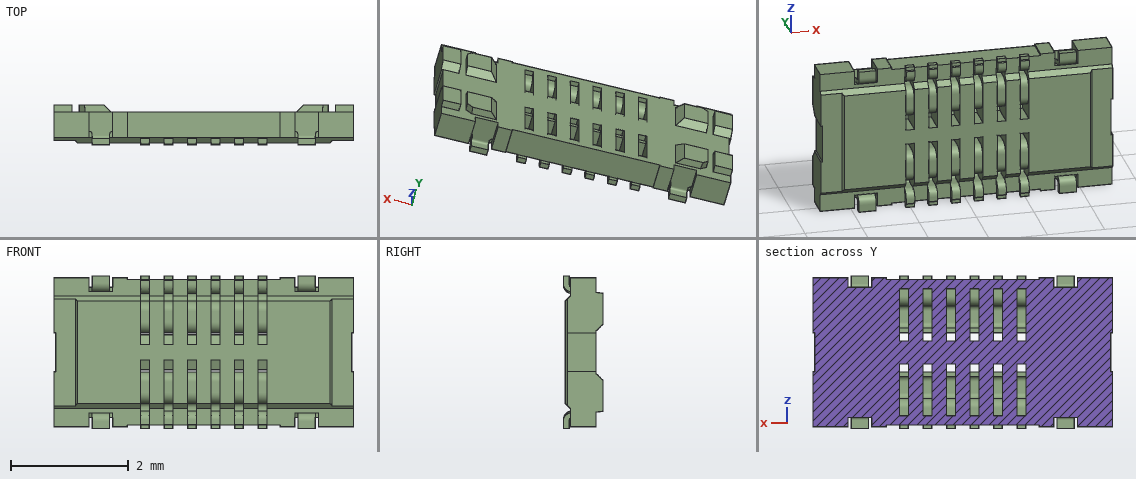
import cadquery as cq


body_length = 5.1
flange_half_width = 1.27
flange_front = 0.12
flange_back = 0.56
waist_half_length = 1.3
waist_half_width = 1.24
end_relief_depth = 0.03
end_relief_half_width = 0.33

panel_front = 0.03
panel_foot_half_width = 0.96
end_panel_front = 0.07
main_panel_half_length = 2.15
main_panel_end_run = 0.08

post_top = 0.68
post_outer_z_base = 1.02
post_outer_z_top = 1.005
post_inner_z_top = 0.48
end_post_inner_x = 2.24
side_post_outer_x = 2.12
side_post_inner_x_top = 1.7
side_post_corner = 0.09

contact_count = 6
contact_pitch = 0.4
contact_width = 0.15
metal_thickness = 0.08
foot_tip_z = 1.3
foot_back = 0.105
foot_bend_radius = 0.15
foot_step = 0.015
foot_step_z = 1.24
tail_leg_z = 0.998
tail_outer_z = tail_leg_z + metal_thickness
upper_bend_y = 0.4
upper_radius_tail = 0.024
upper_radius_spring = 0.075
spring_outer_z = 0.87
spring_inner_z = 0.332
spring_bottom_y = 0.065
spring_bend_radius = 0.17
spring_tip_y = upper_bend_y + metal_thickness

slot_end_z_front = 0.13
slot_end_z_back = 0.30
slot_ramp_depth = 0.07

hold_down_x = 1.75
hold_down_width = 0.3
notch_width = 0.4
notch_floor_z = 1.11
hold_down_bend_radius = 0.14
hold_down_inner_radius = 0.045
flare_start_y = 0.18
flare_radius = (notch_width - hold_down_width) / 2


def box(x_min, x_max, y_min, y_max, z_min, z_max):
    """Box between the given limits."""
    size = (x_max - x_min, y_max - y_min, z_max - z_min)
    return cq.Workplane("XY").box(*size, centered=False).translate((x_min, y_min, z_min))


def side_profile(x_min, x_max):
    """Workplane for drawing a (Y, Z) outline, and the length that carries it from x_min to x_max."""
    return cq.Workplane("YZ", origin=(x_min, 0, 0)), x_max - x_min


def mirrored_in_z(shape):
    return shape.union(shape.mirror("XY"))


def mirrored_in_x(shape):
    return shape.union(shape.mirror("YZ"))


def flange():
    half = body_length / 2
    plate = box(-half, half, flange_front, flange_back, -flange_half_width, flange_half_width)
    waist = box(-waist_half_length, waist_half_length, flange_front, flange_back,
                waist_half_width, flange_half_width)
    return plate.cut(mirrored_in_z(waist))


def panel(half_length, front):
    """Panel raised to Y = front, its long edges sloped at 45 degrees from the flange face."""
    front_half_width = panel_foot_half_width - (flange_front - front)
    plane, length = side_profile(-half_length, half_length)
    return plane.polyline([
        (flange_front, -panel_foot_half_width),
        (front, -front_half_width),
        (front, front_half_width),
        (flange_front, panel_foot_half_width),
    ]).close().extrude(length)


def main_panel():
    """Higher middle panel, with its short ends sloped down to the end panels."""
    base_half_length = main_panel_half_length + main_panel_end_run
    ends = cq.Workplane("XY", origin=(0, 0, -panel_foot_half_width)).polyline([
        (-base_half_length, flange_front),
        (-main_panel_half_length, panel_front),
        (main_panel_half_length, panel_front),
        (base_half_length, flange_front),
    ]).close().extrude(2 * panel_foot_half_width)
    return panel(base_half_length, panel_front).intersect(ends)


def post_ridge(x_min, x_max):
    """Ridge with a slightly drafted outer face and a 45 degree inner face."""
    rise = post_top - flange_back
    plane, length = side_profile(x_min, x_max)
    return plane.polyline([
        (flange_back, post_inner_z_top - rise),
        (post_top, post_inner_z_top),
        (post_top, post_outer_z_top),
        (flange_back, post_outer_z_base),
    ]).close().extrude(length)


def posts():
    """One end post and one side post; the side post has a cut outer corner and a sloped inner end."""
    end_post = post_ridge(end_post_inner_x, body_length / 2)
    rise = post_top - flange_back
    side_post_inner_x = side_post_inner_x_top - rise
    side_post = post_ridge(side_post_inner_x, side_post_outer_x)
    inner_end = cq.Workplane("XY").polyline([
        (side_post_inner_x, flange_back),
        (side_post_inner_x, post_top),
        (side_post_inner_x_top, post_top),
    ]).close().extrude(post_outer_z_base)
    corner_start_x = side_post_outer_x - side_post_corner
    corner_overrun = post_outer_z_base - post_outer_z_top
    corner = cq.Workplane("XZ", origin=(0, flange_back, 0)).polyline([
        (side_post_outer_x, post_outer_z_top - side_post_corner),
        (side_post_outer_x, post_outer_z_base),
        (corner_start_x - corner_overrun, post_outer_z_base),
    ]).close().extrude(-rise)
    return end_post.union(side_post.cut(inner_end).cut(corner))


def end_relief():
    half = body_length / 2
    return box(half - end_relief_depth, half, 0, post_top, -end_relief_half_width, end_relief_half_width)


def housing():
    body = flange().union(panel(body_length / 2, end_panel_front)).union(main_panel())
    body = body.union(mirrored_in_x(mirrored_in_z(posts())))
    return body.cut(mirrored_in_x(end_relief()))


def contact_slot(x):
    plane, length = side_profile(x - contact_width / 2, x + contact_width / 2)
    return plane.polyline([
        (panel_front, slot_end_z_front),
        (flange_back - slot_ramp_depth, slot_end_z_front),
        (flange_back, slot_end_z_back),
        (flange_back, tail_outer_z),
        (panel_front, tail_outer_z),
    ]).close().extrude(length)


def contact(x):
    """Strip running from the solder foot over an upper bend and round a U-shaped spring."""
    plane, length = side_profile(x - contact_width / 2, x + contact_width / 2)
    foot_arc_z = tail_leg_z + foot_bend_radius
    upper_outer_y = upper_bend_y + metal_thickness
    inner_bend = spring_bend_radius - metal_thickness
    outer_upper_bend = upper_radius_spring + metal_thickness
    spring_inside_y = spring_bottom_y + metal_thickness
    spring_high_z = spring_outer_z - metal_thickness
    spring_low_z = spring_inner_z + metal_thickness
    outline = plane.moveTo(foot_back, foot_tip_z).lineTo(foot_step, foot_tip_z)
    outline = outline.lineTo(foot_step, foot_step_z).lineTo(0, foot_step_z - foot_step).lineTo(0, foot_arc_z)
    outline = outline.radiusArc((foot_bend_radius, tail_leg_z), -foot_bend_radius)
    outline = outline.lineTo(upper_bend_y - upper_radius_tail, tail_leg_z)
    outline = outline.radiusArc((upper_bend_y, tail_leg_z - upper_radius_tail), upper_radius_tail)
    outline = outline.lineTo(upper_bend_y, spring_outer_z + upper_radius_spring)
    outline = outline.radiusArc((upper_bend_y - upper_radius_spring, spring_outer_z), upper_radius_spring)
    outline = outline.lineTo(spring_bottom_y + spring_bend_radius, spring_outer_z)
    outline = outline.radiusArc((spring_bottom_y, spring_outer_z - spring_bend_radius), -spring_bend_radius)
    outline = outline.lineTo(spring_bottom_y, spring_inner_z + spring_bend_radius)
    outline = outline.radiusArc((spring_bottom_y + spring_bend_radius, spring_inner_z), -spring_bend_radius)
    outline = outline.lineTo(spring_tip_y, spring_inner_z).lineTo(spring_tip_y, spring_low_z)
    outline = outline.lineTo(spring_inside_y + inner_bend, spring_low_z)
    outline = outline.radiusArc((spring_inside_y, spring_low_z + inner_bend), inner_bend)
    outline = outline.lineTo(spring_inside_y, spring_high_z - inner_bend)
    outline = outline.radiusArc((spring_inside_y + inner_bend, spring_high_z), inner_bend)
    outline = outline.lineTo(upper_outer_y - outer_upper_bend, spring_high_z)
    outline = outline.radiusArc((upper_outer_y, spring_high_z + outer_upper_bend), -outer_upper_bend)
    outline = outline.lineTo(upper_outer_y, tail_outer_z).lineTo(foot_back, tail_outer_z)
    return outline.close().extrude(length)


def hold_down_notch():
    half = notch_width / 2
    notch = box(-half, half, flange_front, flange_back, notch_floor_z, flange_half_width)
    pocket = box(-half, half, flange_front, flare_start_y + flare_radius,
                 notch_floor_z - metal_thickness, notch_floor_z)
    return notch.union(pocket).translate((hold_down_x, 0, 0))


def hold_down():
    """Plate let into the notch floor: it narrows through two concave flares and bends into a foot."""
    half = hold_down_width / 2
    plate_inner_z = notch_floor_z - metal_thickness
    flare_end_y = flare_start_y + flare_radius
    plane, length = side_profile(-half, half)
    strip = plane.moveTo(foot_back, foot_tip_z).lineTo(0, foot_tip_z)
    strip = strip.lineTo(0, plate_inner_z + hold_down_bend_radius)
    strip = strip.radiusArc((hold_down_bend_radius, plate_inner_z), -hold_down_bend_radius)
    strip = strip.lineTo(flare_end_y, plate_inner_z).lineTo(flare_end_y, notch_floor_z)
    strip = strip.lineTo(foot_back + hold_down_inner_radius, notch_floor_z)
    strip = strip.radiusArc((foot_back, notch_floor_z + hold_down_inner_radius), hold_down_inner_radius)
    strip = strip.close().extrude(length)
    flare = cq.Workplane("XY", origin=(0, 0, plate_inner_z)).moveTo(half, flare_start_y)
    flare = flare.radiusArc((half + flare_radius, flare_end_y), flare_radius)
    flare = flare.lineTo(half, flare_end_y).close().extrude(metal_thickness)
    return strip.union(mirrored_in_x(flare)).translate((hold_down_x, 0, 0))


result = housing().cut(mirrored_in_x(mirrored_in_z(hold_down_notch())))
result = result.union(mirrored_in_x(mirrored_in_z(hold_down())))

first_contact_x = -contact_pitch * (contact_count - 1) / 2
for index in range(contact_count):
    contact_x = first_contact_x + index * contact_pitch
    result = result.cut(mirrored_in_z(contact_slot(contact_x)))
    result = result.union(mirrored_in_z(contact(contact_x)))